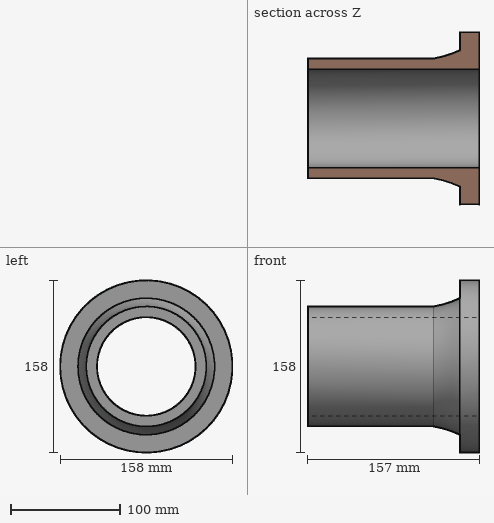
import cadquery as cq

total_length = 157.0
flange_diameter = 158.0
flange_thickness = 18.0
pipe_diameter = 110.0
bore_diameter = 90.0

hub_length = 24.2
hub_diameter = 125.1
hub_mid_diameter = 115.8

flange_radius = flange_diameter / 2
pipe_radius = pipe_diameter / 2
bore_radius = bore_diameter / 2
hub_radius = hub_diameter / 2
hub_mid_radius = hub_mid_diameter / 2

flange_start = total_length - flange_thickness
hub_start = flange_start - hub_length
hub_middle = hub_start + hub_length / 2

section = (
    cq.Workplane("XY")
    .moveTo(0, bore_radius)
    .lineTo(0, pipe_radius)
    .lineTo(hub_start, pipe_radius)
    .threePointArc((hub_middle, hub_mid_radius), (flange_start, hub_radius))
    .lineTo(flange_start, flange_radius)
    .lineTo(total_length, flange_radius)
    .lineTo(total_length, bore_radius)
    .close()
)

result = section.revolve(360, (0, 0, 0), (1, 0, 0))